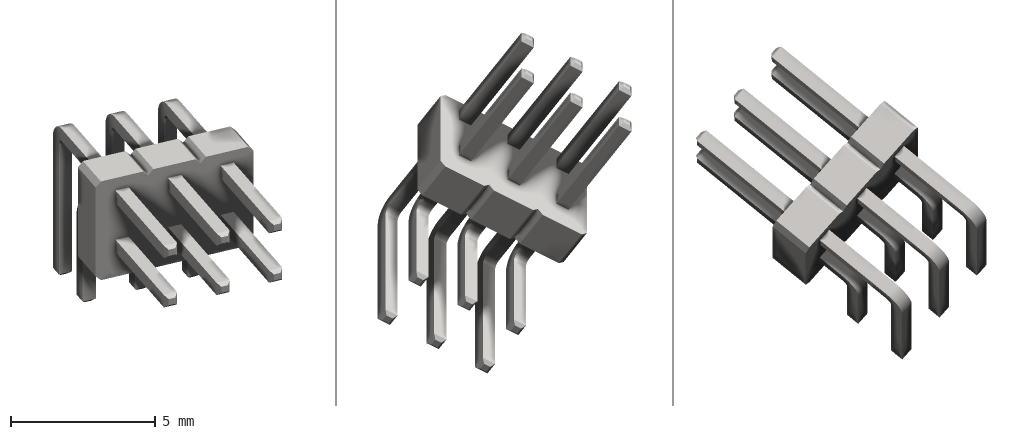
import cadquery as cq


total_length = 9.45
total_height = 6.65
housing_width = 6.0

column_count = 3
column_pitch = housing_width / column_count
housing_thickness = 1.5
housing_height = 2 * column_pitch
housing_start = 3.75
housing_bottom = total_height - housing_height
corner_chamfer = 0.2

row_count = 2
row_pitch = column_pitch
pin_size = 0.5
tip_chamfer = pin_size / 4
bend_inner_radius = pin_size / 2
bend_outer_radius = bend_inner_radius + pin_size
upper_row_depth = 0.75


def make_housing_cell(y_center):
    """One column of the housing, chamfered along its four X-direction edges."""
    return (
        cq.Workplane("XY")
        .box(housing_thickness, column_pitch, housing_height, centered=(False, True, False))
        .edges("|X")
        .chamfer(corner_chamfer)
        .translate((housing_start, y_center, housing_bottom))
    )


def make_pin(row, y_center):
    """One bent pin; each further row sits one pitch inward and one pitch lower."""
    outer_x = row * row_pitch
    top_z = total_height - upper_row_depth + pin_size / 2 - row * row_pitch
    horizontal_length = total_length - outer_x

    pin = (
        cq.Workplane("XZ", origin=(outer_x, y_center, top_z))
        .polyline([
            (0, 0),
            (horizontal_length, 0),
            (horizontal_length, -pin_size),
            (pin_size, -pin_size),
            (pin_size, -top_z),
            (0, -top_z),
        ])
        .close()
        .extrude(pin_size / 2, both=True)
    )
    outer_corner = cq.NearestToPointSelector((outer_x, y_center, top_z))
    inner_corner = cq.NearestToPointSelector((outer_x + pin_size, y_center, top_z - pin_size))
    pin = pin.edges("|Y").edges(outer_corner).fillet(bend_outer_radius)
    pin = pin.edges("|Y").edges(inner_corner).fillet(bend_inner_radius)
    pin = pin.faces(">X").chamfer(tip_chamfer)
    return pin.faces("<Z").chamfer(tip_chamfer)


column_centers = [(column - (column_count - 1) / 2) * column_pitch for column in range(column_count)]

result = make_housing_cell(column_centers[0])
for y_center in column_centers[1:]:
    result = result.union(make_housing_cell(y_center))

for y_center in column_centers:
    for row in range(row_count):
        result = result.union(make_pin(row, y_center))

result = result.clean()